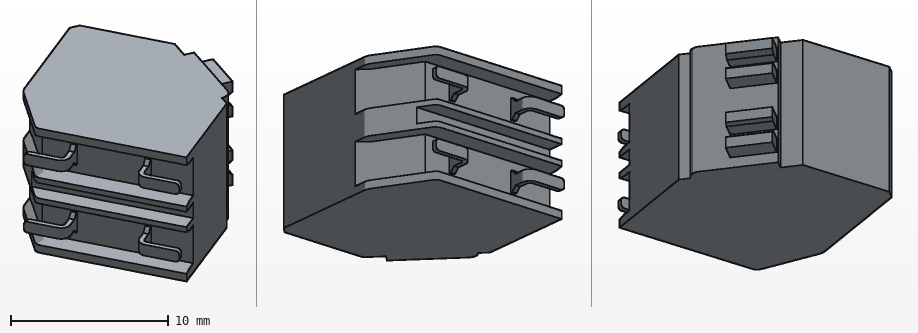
import cadquery as cq
import math

width = 12.7
depth = 12.92
height = 9.2
mid_height = height / 2

slant_run = 2.42
slant_rise = 4.08
slant_front_radius = 0.5
slant_side_radius = 1.0
back_left_chamfer = 0.5
wire_chamfer = 5.74

panel_height = 0.69
panel_start = 1.46
panel_end = 7.35

prong_start = 1.55
prong_length = 3.04
prong_height = 1.29
outer_prong_end_z = 8.45
outer_prong_width = 1.02
outer_prong_bevel = (0.25, 0.39)
inner_prong_end_z = 5.85
inner_prong_width = 0.91
inner_prong_bevel = (0.18, 0.23)

recess_depth = 1.2
pocket_bottom = 5.55
pocket_top = 8.62
bevel_depth = 0.58
inner_rib_bevel = 0.15
outer_rib_bevel = 0.11
groove_width = 1.13

pin_thickness = 0.36
pin_width = 0.82
pin_reach = 0.6
pin_bend_radius = 0.62
pin_tip_radius = 0.28
pin_root_width = 1.49
pin_root_end = 1.06
pin_taper = 0.33
pin_root_depth = 0.69
pin_pair_center_x = 7.13
pin_heel_offset = 2.35
pin_tip_offset = 5.29
pin_center_z = 7.1


def both_poles(upper):
    """Return the upper pole's solid together with its mirror image in the lower pole."""
    return upper.union(upper.mirror("XY", (0, 0, mid_height)))


def make_housing():
    outline = [
        (slant_run, 0),
        (width, 0),
        (width, depth - wire_chamfer),
        (width - wire_chamfer, depth),
        (back_left_chamfer, depth),
        (0, depth - back_left_chamfer),
        (0, slant_rise),
    ]
    block = cq.Workplane("XY").polyline(outline).close().extrude(height)
    front_corner = cq.selectors.NearestToPointSelector((slant_run, 0, mid_height))
    side_corner = cq.selectors.NearestToPointSelector((0, slant_rise, mid_height))
    return block.edges(front_corner).fillet(slant_front_radius).edges(side_corner).fillet(slant_side_radius)


def corner_plane(x_direction, normal):
    """Plane with its origin at the back end of the large corner face, at Z = 0."""
    return cq.Plane((width - wire_chamfer, depth, 0), x_direction, normal)


def make_panel():
    """Panel sunk into the corner face, square at its back end and rounded at its front end."""
    arc_center = panel_end - panel_height
    arc_offset = panel_height * math.sqrt(0.5)
    return (
        cq.Workplane(corner_plane((1, -1, 0), (0, 0, 1)))
        .moveTo(panel_start, -panel_height)
        .lineTo(panel_start, panel_height)
        .lineTo(arc_center, panel_height)
        .threePointArc((arc_center + arc_offset, arc_offset), (panel_end, 0))
        .lineTo(arc_center, -panel_height)
        .close()
        .extrude(height)
    )


def make_prong(end_z, prong_width, bevel, toward):
    """Prong from end_z across Z in the direction `toward`, with its far top edge bevelled."""
    bevel_across, bevel_down = bevel
    top = panel_height + prong_height
    far_z = end_z + toward * prong_width
    profile = [
        (end_z, 0),
        (end_z, top),
        (far_z - toward * bevel_across, top),
        (far_z, top - bevel_down),
        (far_z, 0),
    ]
    return (
        cq.Workplane(corner_plane((0, 0, 1), (-1, 1, 0)))
        .workplane(offset=-prong_start)
        .polyline(profile).close()
        .extrude(-prong_length)
    )


def rib_edge(sketch, inset):
    """Draw the housing outline moved inwards by inset, sharp in front and open past the +X side."""
    slope = slant_rise / slant_run
    turn = math.atan(1 / slope)
    line_rise = slant_rise + inset * math.hypot(1, slope)
    side_corner_y = line_rise - slope * inset
    radius = slant_side_radius - inset
    tangent = radius * math.tan(turn / 2)
    return (
        sketch
        .moveTo((line_rise - inset) / slope, inset)
        .lineTo(2 * width, inset)
        .lineTo(2 * width, depth)
        .lineTo(inset, depth)
        .lineTo(inset, side_corner_y + tangent)
        .radiusArc((inset + tangent * math.sin(turn), side_corner_y - tangent * math.cos(turn)), -radius)
        .close()
    )


def make_rib_bevel(base_z, rise):
    """Sloping edge of a rib: narrows from the outline at base_z to the inset outline."""
    base = rib_edge(cq.Workplane("XY", origin=(0, 0, base_z)), 0)
    return rib_edge(base.workplane(offset=rise), bevel_depth).loft(ruled=True)


def make_pocket():
    """Upper pin pocket: follows the slanted corner and has bevelled rib edges above and below."""
    mouth = [
        (0, slant_rise + recess_depth),
        (slant_run, recess_depth),
        (width, recess_depth),
        (width, 0),
        (0, 0),
    ]
    pocket = (
        cq.Workplane("XY", origin=(0, 0, pocket_bottom))
        .polyline(mouth).close()
        .extrude(pocket_top - pocket_bottom)
    )
    return (
        pocket
        .cut(make_rib_bevel(pocket_bottom, inner_rib_bevel))
        .cut(make_rib_bevel(pocket_top, -outer_rib_bevel))
    )


def make_groove():
    """Straight groove across the front, midway between the pockets."""
    return (
        cq.Workplane("XY", origin=(0, 0, mid_height))
        .box(width, recess_depth, groove_width, centered=(False, False, True))
    )


def make_pin():
    """Right pin of the upper pole: leg along Y bent into a foot along +X."""
    heel = pin_pair_center_x + pin_heel_offset
    tip = pin_pair_center_x + pin_tip_offset
    root_y = recess_depth + pin_root_depth
    bend_x = heel + pin_bend_radius
    bend_y = pin_bend_radius - pin_reach
    inner_radius = pin_bend_radius - pin_thickness
    diagonal = math.sqrt(0.5)
    strip = (
        cq.Workplane("XY", origin=(0, 0, pin_center_z))
        .moveTo(heel, root_y)
        .lineTo(heel, bend_y)
        .threePointArc((bend_x - pin_bend_radius * diagonal, bend_y - pin_bend_radius * diagonal),
                       (bend_x, -pin_reach))
        .lineTo(tip, -pin_reach)
        .lineTo(tip, pin_thickness - pin_reach)
        .lineTo(bend_x, pin_thickness - pin_reach)
        .threePointArc((bend_x - inner_radius * diagonal, bend_y - inner_radius * diagonal),
                       (heel + pin_thickness, bend_y))
        .lineTo(heel + pin_thickness, root_y)
        .close()
        .extrude(pin_width / 2, both=True)
        .edges("|Y and >X").fillet(pin_tip_radius)
    )
    root_profile = [
        (root_y, pin_root_width / 2),
        (pin_root_end, pin_root_width / 2),
        (pin_root_end - pin_taper, pin_width / 2),
        (pin_root_end - pin_taper, -pin_width / 2),
        (pin_root_end, -pin_root_width / 2),
        (root_y, -pin_root_width / 2),
    ]
    root = (
        cq.Workplane("YZ", origin=(heel, 0, pin_center_z))
        .polyline(root_profile).close()
        .extrude(pin_thickness)
    )
    return strip.union(root)


outer_prong = make_prong(outer_prong_end_z, outer_prong_width, outer_prong_bevel, -1)
inner_prong = make_prong(inner_prong_end_z, inner_prong_width, inner_prong_bevel, 1)
right_pin = make_pin()
left_pin = right_pin.mirror("YZ", (pin_pair_center_x, 0, 0))

result = (
    make_housing()
    .union(make_panel())
    .cut(both_poles(make_pocket()))
    .cut(make_groove())
    .union(both_poles(outer_prong.union(inner_prong)))
    .union(both_poles(right_pin.union(left_pin)))
)